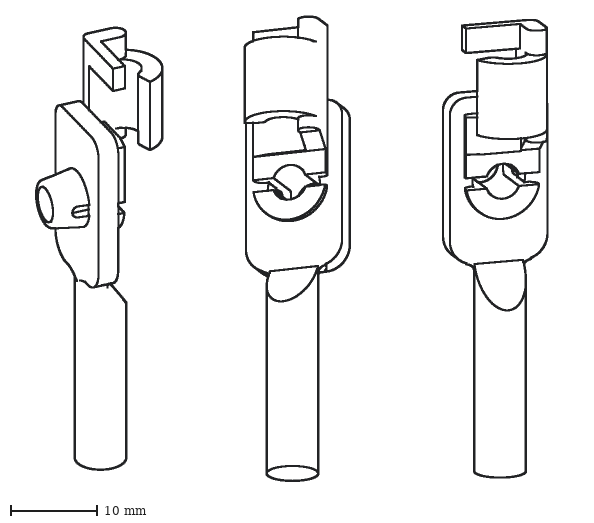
import cadquery as cq
import math

ROD_RADIUS = 3.0
PLATE_WIDTH = 12.0
PLATE_THICKNESS = 2.5
PLATE_BOTTOM = 25.0
PLATE_TOP = 45.05
TOP_CORNER_RADIUS = 2.0
BOTTOM_CORNER_RADIUS = 2.95
BEVEL_START = 20.05
NECK_FILLET = 0.95
NECK_OVERLAP = 0.15
PLATE_FRONT = -ROD_RADIUS
PLATE_BACK = PLATE_FRONT + PLATE_THICKNESS

STUD_HEIGHT = 35.05
SHANK_RADIUS = 3.2
HEAD_BASE_RADIUS = 3.5
HEAD_TIP_RADIUS = 2.85
HEAD_LENGTH = 4.05
HEAD_TIP_FILLET = 0.4
BORE_RADIUS = 2.1
SLOT_WIDTH = 1.45
SLOT_DEPTH_IN_HEAD = 2.05

CLIP_TOP = 53.75
CLIP_HALF_WIDTH = 4.5
WEB_THICKNESS = 1.5
ARM_HEIGHT = 2.95
LEG_THICKNESS = 2.4
LEG_BOTTOM = 40.3
BEVEL_BOTTOM = 38.6
BEND_RADIUS = 1.0
ROUNDED_END_START = 3.45
HOOK_CENTER_Y = 2.95
HOOK_HEIGHT = 9.05
HOOK_TIP_ANGLE = 18.0
HOOK_TIP_FILLET = 0.85
PAD_THICKNESS = 0.45
PAD_FLAT_END = 2.4
WEB_BACK = PLATE_BACK + WEB_THICKNESS
LEG_INNER_X = LEG_THICKNESS - CLIP_HALF_WIDTH
HOOK_INNER_RADIUS = CLIP_HALF_WIDTH - LEG_THICKNESS
ARM_BOTTOM = CLIP_TOP - ARM_HEIGHT
WEB_SHOULDER = PLATE_TOP - TOP_CORNER_RADIUS


def box(x_range, y_range, z_range):
    """Box between the given limits along each axis."""
    (x0, x1), (y0, y1), (z0, z1) = x_range, y_range, z_range
    return cq.Workplane("XY").box(x1 - x0, y1 - y0, z1 - z0, centered=False).translate((x0, y0, z0))


def stud_cylinder(radius, y_start, y_end):
    """Cylinder on the stud axis between two Y positions."""
    return cq.Workplane(cq.Solid.makeCylinder(
        radius, y_end - y_start, cq.Vector(0, y_start, STUD_HEIGHT), cq.Vector(0, 1, 0)))


def make_neck():
    """Concave round flare under the plate, trimmed to the plate thickness."""
    neck_bottom = PLATE_BOTTOM - NECK_FILLET
    neck_top = PLATE_BOTTOM + NECK_OVERLAP
    flare_radius = ROD_RADIUS + NECK_FILLET
    bulge = NECK_FILLET * math.sqrt(0.5)
    flare = (
        cq.Workplane("XZ")
        .moveTo(0, neck_bottom)
        .lineTo(ROD_RADIUS, neck_bottom)
        .threePointArc((flare_radius - bulge, neck_bottom + bulge), (flare_radius, PLATE_BOTTOM))
        .lineTo(flare_radius, neck_top)
        .lineTo(0, neck_top)
        .close()
        .revolve(360, (0, 0), (0, 1))
    )
    trim = box((-flare_radius, flare_radius), (PLATE_FRONT, PLATE_BACK), (neck_bottom, neck_top))
    return flare.intersect(trim)


def make_terminal():
    half_width = PLATE_WIDTH / 2
    plate = box((-half_width, half_width), (PLATE_FRONT, PLATE_BACK), (PLATE_BOTTOM, PLATE_TOP))
    plate = plate.edges("|Y and >Z").fillet(TOP_CORNER_RADIUS)
    plate = plate.edges("|Y and <Z").fillet(BOTTOM_CORNER_RADIUS)

    rod = cq.Workplane("XY").circle(ROD_RADIUS).extrude(PLATE_BOTTOM)
    bevel = (
        cq.Workplane("YZ")
        .polyline([(ROD_RADIUS, BEVEL_START), (ROD_RADIUS, PLATE_BOTTOM), (PLATE_BACK, PLATE_BOTTOM)])
        .close()
        .extrude(ROD_RADIUS, both=True)
    )
    terminal = plate.union(rod.cut(bevel))
    terminal = terminal.union(make_neck())
    return terminal.cut(stud_cylinder(SHANK_RADIUS, PLATE_FRONT, PLATE_BACK))


def make_web():
    """Flat base with a round lower end and an upper arm joined by the leg."""
    y_range = (PLATE_BACK, WEB_BACK)
    full_width = (-CLIP_HALF_WIDTH, CLIP_HALF_WIDTH)
    lower_end = stud_cylinder(CLIP_HALF_WIDTH, *y_range)
    lower_web = box(full_width, y_range, (STUD_HEIGHT, WEB_SHOULDER))
    arm = box(full_width, y_range, (ARM_BOTTOM, CLIP_TOP))
    return lower_end.union(lower_web).union(arm)


def make_leg():
    """Side leg with a rounded rear edge and a beveled lower corner."""
    leg = (
        cq.Workplane("XY", origin=(0, 0, STUD_HEIGHT))
        .moveTo(-CLIP_HALF_WIDTH, PLATE_BACK)
        .lineTo(LEG_INNER_X, PLATE_BACK)
        .lineTo(LEG_INNER_X, ROUNDED_END_START)
        .threePointArc(
            (LEG_INNER_X - LEG_THICKNESS / 2, ROUNDED_END_START + LEG_THICKNESS / 2),
            (-CLIP_HALF_WIDTH, ROUNDED_END_START),
        )
        .close()
        .extrude(CLIP_TOP - STUD_HEIGHT)
    )
    rear = ROUNDED_END_START + LEG_THICKNESS
    side_profile = (
        cq.Workplane("YZ")
        .polyline([
            (PLATE_BACK, STUD_HEIGHT), (WEB_BACK, STUD_HEIGHT), (WEB_BACK, BEVEL_BOTTOM),
            (HOOK_CENTER_Y, LEG_BOTTOM), (rear, LEG_BOTTOM), (rear, CLIP_TOP), (PLATE_BACK, CLIP_TOP),
        ])
        .close()
        .extrude(CLIP_HALF_WIDTH, both=True)
    )
    return leg.intersect(side_profile)


def hook_point(radius, angle):
    """Point in the XY plane on a circle about the hook center."""
    turn = math.radians(angle)
    return (radius * math.cos(turn), HOOK_CENTER_Y + radius * math.sin(turn))


def make_hook():
    """Curled hook that starts at the leg and ends with a radial tip."""
    outer, inner = CLIP_HALF_WIDTH, HOOK_INNER_RADIUS
    tip_inner = hook_point(inner, HOOK_TIP_ANGLE)
    hook = (
        cq.Workplane("XY", origin=(0, 0, ARM_BOTTOM - HOOK_HEIGHT))
        .moveTo(*hook_point(outer, 180))
        .threePointArc(hook_point(outer, 90), hook_point(outer, HOOK_TIP_ANGLE))
        .lineTo(*tip_inner)
        .threePointArc(hook_point(inner, 90), hook_point(inner, 180))
        .close()
        .extrude(HOOK_HEIGHT)
    )
    tip_edge = cq.selectors.NearestToPointSelector((*tip_inner, ARM_BOTTOM - HOOK_HEIGHT / 2))
    return hook.edges("|Z").edges(tip_edge).fillet(HOOK_TIP_FILLET)


def make_pad():
    """Thin tapered pad beside the leg on the back of the web."""
    return (
        cq.Workplane("XY", origin=(0, 0, BEVEL_BOTTOM))
        .moveTo(LEG_INNER_X, WEB_BACK)
        .lineTo(LEG_INNER_X, WEB_BACK + PAD_THICKNESS)
        .lineTo(PAD_FLAT_END, WEB_BACK + PAD_THICKNESS)
        .lineTo(CLIP_HALF_WIDTH, WEB_BACK)
        .close()
        .extrude(WEB_SHOULDER - BEVEL_BOTTOM)
    )


def make_stud():
    """Shank through the plate and a tapered head with a rounded tip."""
    head = cq.Workplane(cq.Solid.makeCone(
        HEAD_BASE_RADIUS, HEAD_TIP_RADIUS, HEAD_LENGTH,
        cq.Vector(0, PLATE_FRONT, STUD_HEIGHT), cq.Vector(0, -1, 0)))
    head = head.faces("<Y").edges().fillet(HEAD_TIP_FILLET)
    return head.union(stud_cylinder(SHANK_RADIUS, PLATE_FRONT, PLATE_BACK))


def make_slot():
    """Crosswise slot, open at the web and round-ended inside the head."""
    half_slot = SLOT_WIDTH / 2
    slot_end = PLATE_FRONT - SLOT_DEPTH_IN_HEAD
    arc_start = slot_end + half_slot
    return (
        cq.Workplane("YZ")
        .moveTo(WEB_BACK, STUD_HEIGHT - half_slot)
        .lineTo(arc_start, STUD_HEIGHT - half_slot)
        .threePointArc((slot_end, STUD_HEIGHT), (arc_start, STUD_HEIGHT + half_slot))
        .lineTo(WEB_BACK, STUD_HEIGHT + half_slot)
        .close()
        .extrude(CLIP_HALF_WIDTH, both=True)
    )


def make_clip():
    bracket = make_web().union(make_leg())
    bend_edge = cq.selectors.NearestToPointSelector(
        (-CLIP_HALF_WIDTH, PLATE_BACK, (STUD_HEIGHT + CLIP_TOP) / 2))
    bracket = bracket.edges("|Z").edges(bend_edge).fillet(BEND_RADIUS)
    clip = bracket.union(make_hook()).union(make_pad()).union(make_stud())
    bore = stud_cylinder(BORE_RADIUS, PLATE_FRONT - HEAD_LENGTH, WEB_BACK)
    return clip.cut(bore).cut(make_slot())


terminal = make_terminal()
clip = make_clip()
result = cq.Compound.makeCompound([terminal.val(), clip.val()])